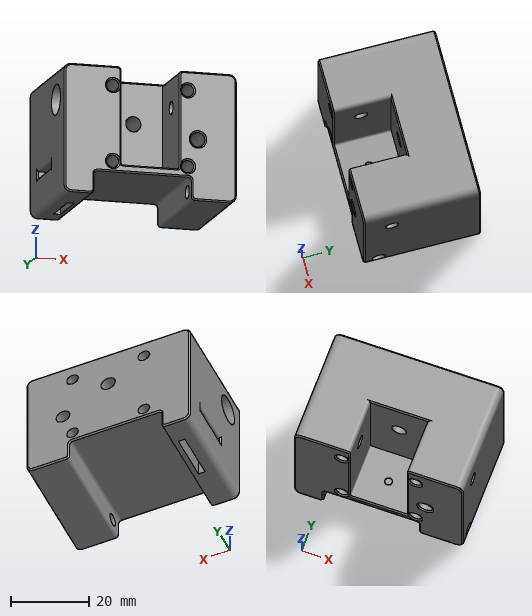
import cadquery as cq

width = 46.0
depth = 31.0
height = 33.8
left_side = -width / 2
right_side = width / 2
body_corner_radius = 2.0
edge_chamfer = 0.4

notch_left = -15.0
notch_right = 11.0
notch_height = 6.0
notch_corner_radius = 1.0

pocket_half_width = 7.75
pocket_depth = 15.4
pocket_floor = 8.0
pocket_floor_radius = 0.55
pocket_rim_radius = 1.0

screw_diameter = 3.2
screw_spacing = 20.0
screw_row_bottom = 8.8
rod_hole_diameter = 3.8
rod_hole_x = 12.7
rod_hole_z = 16.05

back_hole_diameter = 4.0
back_hole_z = 22.8

cross_hole_diameter = 3.4
cross_hole_y = 7.5
cross_hole_z = 25.75
counterbore_diameter = 8.0
counterbore_depth = 3.5

floor_hole_diameter = 2.0
floor_hole_depth = 0.3

foot_hole_diameter = 3.4
foot_hole_y = 4.0
foot_hole_z = notch_height / 2

strap_width = 12.45
strap_thickness = 1.85
strap_y = 18.2
strap_z = 9.95
strap_straight = 1.3
strap_inner_radius = 3.15
strap_lip_radius = 0.75
strap_end_chamfer = 0.3

pick_margin = 0.45


def box(x_min, x_max, y_min, y_max, z_min, z_max):
    """Box between the given limits."""
    size = (x_max - x_min, y_max - y_min, z_max - z_min)
    return cq.Workplane("XY").box(*size, centered=False).translate((x_min, y_min, z_min))


def cylinder(start, direction, diameter, length):
    """Cylinder from a start point along a direction."""
    rod = cq.Solid.makeCylinder(diameter / 2, length, cq.Vector(*start), cq.Vector(*direction))
    return cq.Workplane(obj=rod)


def hole_along_y(x, z, diameter):
    """Hole along Y through the whole depth."""
    return cylinder((x, 0, z), (0, 1, 0), diameter, depth)


def hole_along_x(y, z, diameter, x_start, x_end):
    """Hole along X between two stations."""
    return cylinder((x_start, y, z), (1, 0, 0), diameter, x_end - x_start)


def countersunk_hole(x, z, diameter):
    """Hole along Y through the whole depth, its front edge broken by a small cone."""
    radius = diameter / 2
    cone = cq.Solid.makeCone(
        radius + edge_chamfer, radius, edge_chamfer, cq.Vector(x, 0, z), cq.Vector(0, 1, 0)
    )
    return hole_along_y(x, z, diameter).union(cq.Workplane(obj=cone))


def edges_below(z):
    """Selector for the edges whose centres lie inside the body up to a height."""
    return cq.selectors.BoxSelector(
        (left_side - pick_margin, -pick_margin, -pick_margin),
        (right_side + pick_margin, depth + pick_margin, z + pick_margin),
    )


def make_pocket():
    """U profile with a rounded rim, ended at the back by a wall with a chamfered top edge."""
    rim_half_width = pocket_half_width + pocket_rim_radius
    rim_bottom = height - pocket_rim_radius
    profile = (
        cq.Workplane("XZ")
        .moveTo(-rim_half_width, height)
        .radiusArc((-pocket_half_width, rim_bottom), pocket_rim_radius)
        .lineTo(-pocket_half_width, pocket_floor)
        .lineTo(pocket_half_width, pocket_floor)
        .lineTo(pocket_half_width, rim_bottom)
        .radiusArc((rim_half_width, height), pocket_rim_radius)
        .close()
        .extrude(-depth)
        .edges("|Y")
        .edges(edges_below(pocket_floor))
        .fillet(pocket_floor_radius)
    )
    side = (
        cq.Workplane("YZ")
        .lineTo(pocket_depth, 0)
        .lineTo(pocket_depth, height - edge_chamfer)
        .lineTo(pocket_depth + edge_chamfer, height)
        .lineTo(0, height)
        .close()
        .extrude(width / 2, both=True)
    )
    return profile.intersect(side)


def make_body():
    """Block with the notch and the pocket, chamfered around its front and back outlines."""
    block = box(left_side, right_side, 0, depth, 0, height).edges("|Y").fillet(body_corner_radius)
    notch = box(notch_left, notch_right, 0, depth, 0, notch_height)
    notch_edges = cq.selectors.BoxSelector(
        (notch_left - pick_margin, -pick_margin, -pick_margin),
        (notch_right + pick_margin, depth + pick_margin, notch_height + pick_margin),
    )
    notched = block.cut(notch).edges("|Y").edges(notch_edges).fillet(notch_corner_radius)
    return notched.cut(make_pocket()).faces("<Y or >Y").chamfer(edge_chamfer)


def make_strap_channel():
    """Quarter bend with straight ends, its mouth rounded above and below and chamfered at the ends."""
    roof = strap_z + strap_thickness / 2
    floor = strap_z - strap_thickness / 2
    outer_radius = strap_inner_radius + strap_thickness
    bend_x = left_side + strap_straight
    bend_z = floor - strap_inner_radius
    lip_x = left_side + strap_lip_radius
    profile = (
        cq.Workplane("XZ")
        .moveTo(left_side, roof + strap_lip_radius)
        .radiusArc((lip_x, roof), -strap_lip_radius)
        .lineTo(bend_x, roof)
        .radiusArc((bend_x + outer_radius, bend_z), outer_radius)
        .lineTo(bend_x + outer_radius, 0)
        .lineTo(bend_x + strap_inner_radius, 0)
        .lineTo(bend_x + strap_inner_radius, bend_z)
        .radiusArc((bend_x, floor), -strap_inner_radius)
        .lineTo(lip_x, floor)
        .radiusArc((left_side, floor - strap_lip_radius), -strap_lip_radius)
        .close()
        .extrude(-depth)
    )
    half_width = strap_width / 2
    mouth_half_width = half_width + strap_end_chamfer
    chamfer_x = left_side + strap_end_chamfer
    plan = (
        cq.Workplane("XY")
        .moveTo(left_side, strap_y - mouth_half_width)
        .lineTo(chamfer_x, strap_y - half_width)
        .lineTo(0, strap_y - half_width)
        .lineTo(0, strap_y + half_width)
        .lineTo(chamfer_x, strap_y + half_width)
        .lineTo(left_side, strap_y + mouth_half_width)
        .close()
        .extrude(height)
    )
    return profile.intersect(plan)


body = make_body()

for x in (-screw_spacing / 2, screw_spacing / 2):
    for z in (screw_row_bottom, screw_row_bottom + screw_spacing):
        body = body.cut(countersunk_hole(x, z, screw_diameter))
body = body.cut(countersunk_hole(rod_hole_x, rod_hole_z, rod_hole_diameter))
body = body.cut(hole_along_y(0, back_hole_z, back_hole_diameter))

counterbore_end = left_side + counterbore_depth
body = body.cut(hole_along_x(cross_hole_y, cross_hole_z, cross_hole_diameter, left_side, right_side))
body = body.cut(hole_along_x(cross_hole_y, cross_hole_z, counterbore_diameter, left_side, counterbore_end))
body = body.cut(hole_along_x(foot_hole_y, foot_hole_z, foot_hole_diameter, 0, right_side))

floor_hole_bottom = (0, cross_hole_y, pocket_floor - floor_hole_depth)
body = body.cut(cylinder(floor_hole_bottom, (0, 0, 1), floor_hole_diameter, floor_hole_depth))

result = body.cut(make_strap_channel())